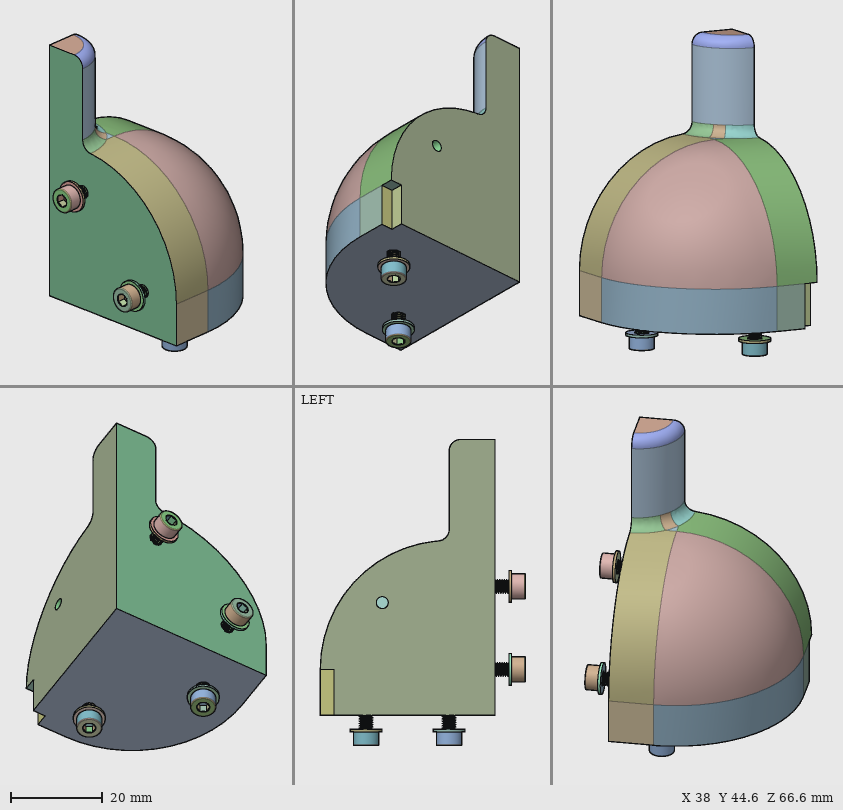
import cadquery as cq

block_size = 38.0
flat_width = 10.0
dome_radius = block_size - flat_width

post_radius = flat_width
post_top = 60.0
post_fillet = 2.5
tolerance = 0.005

side_hole_diameter = 2.6
side_hole_position = 24.5
side_hole_depth = 10.0

notch_width = 3.0
notch_height = flat_width

standoff = 3.0
near_position = flat_width
far_position = 28.05
washer_diameter = 7.0
washer_hole_diameter = 3.2
washer_thickness = 0.6
head_diameter = 5.5
head_height = 3.0
head_fillet = 0.2
seat_fillet = 0.1
socket_flats = 2.5
socket_depth = 2.0
socket_rim_diameter = 2.85
thread_diameter = 3.0
core_diameter = 2.3
thread_pitch = 0.5
thread_base_width = 0.4
thread_bite = 0.05
shank_length = 8.0
head_seat = standoff + washer_thickness
engagement = shank_length - head_seat


def make_screw():
    """Socket head screw along Z: the block side is z = 0, the head points to -Z."""
    head = (
        cq.Workplane("XY")
        .workplane(offset=-head_seat)
        .circle(head_diameter / 2)
        .extrude(-head_height)
        .faces("<Z")
        .edges()
        .fillet(head_fillet)
        .faces(">Z")
        .edges()
        .fillet(seat_fillet)
    )
    head_end = -head_seat - head_height
    socket = (
        cq.Workplane("XY")
        .workplane(offset=head_end)
        .polygon(6, socket_flats, circumscribed=True)
        .extrude(socket_depth)
    )
    rim_radius = socket_rim_diameter / 2
    socket_rim = cq.Solid.makeCone(rim_radius, 0, rim_radius, pnt=cq.Vector(0, 0, head_end))
    core = cq.Workplane("XY").workplane(offset=-head_seat).circle(core_diameter / 2).extrude(shank_length)
    return head.cut(socket).cut(cq.Workplane(socket_rim)).union(core).union(make_thread())


def make_thread():
    """Helical ridge along the whole shank."""
    root_radius = core_diameter / 2 - thread_bite
    helix_start = -head_seat + thread_base_width / 2
    helix_length = shank_length - thread_base_width
    helix = cq.Wire.makeHelix(thread_pitch, helix_length, root_radius, center=cq.Vector(0, 0, helix_start))
    return (
        cq.Workplane("XZ")
        .moveTo(root_radius, helix_start - thread_base_width / 2)
        .lineTo(thread_diameter / 2, helix_start)
        .lineTo(root_radius, helix_start + thread_base_width / 2)
        .close()
        .sweep(cq.Workplane(helix), isFrenet=True)
    )


def make_washer():
    """Flat washer against the underside of the head."""
    return (
        cq.Workplane("XY")
        .workplane(offset=-standoff)
        .circle(washer_diameter / 2)
        .circle(washer_hole_diameter / 2)
        .extrude(-washer_thickness)
    )


def make_screw_hole():
    """Blind hole that holds the end of a screw."""
    return cq.Workplane("XY").circle(thread_diameter / 2).extrude(engagement)


def screw_locations():
    """Two screw places on the underside and two on the -Y side."""
    spots = [(near_position, far_position), (far_position, near_position)]
    underside = [cq.Location(cq.Vector(x, y, 0)) for x, y in spots]
    front = [cq.Location(cq.Vector(x, 0, z), cq.Vector(1, 0, 0), -90) for x, z in spots]
    return underside + front


def on_block_top(edge):
    """True for an edge that lies flat at the top of the dome."""
    box = edge.BoundingBox()
    return abs(box.zmin - block_size) < tolerance and box.zlen < tolerance


def make_domed_quarter():
    """Block with its dome and post: a full symmetric dome around the post, cut down to one quarter."""
    full_size = 2 * block_size
    dome = (
        cq.Workplane("XY")
        .box(full_size, full_size, block_size, centered=(True, True, False))
        .edges("|Z or >Z")
        .fillet(dome_radius)
    )
    post = cq.Workplane("XY").circle(post_radius).extrude(post_top).faces(">Z").edges().fillet(post_fillet)
    body = dome.union(post)
    root_edges = [edge for edge in body.edges("%CIRCLE").vals() if on_block_top(edge)]
    body = body.newObject(root_edges).fillet(post_fillet)
    quarter = cq.Workplane("XY").box(block_size, block_size, post_top, centered=False)
    return body.intersect(quarter)


def make_side_hole():
    """Blind hole along X in the -X side."""
    return (
        cq.Workplane("YZ")
        .center(side_hole_position, side_hole_position)
        .circle(side_hole_diameter / 2)
        .extrude(side_hole_depth)
    )


def make_notch():
    """Rectangular notch standing on the underside."""
    notch = cq.Workplane("XY").box(notch_width, notch_width, notch_height, centered=False)
    return notch.translate((0, block_size - notch_width, 0))


def make_block():
    """Domed block with all its holes and the notch."""
    block = make_domed_quarter().cut(make_side_hole()).cut(make_notch())
    screw_hole = make_screw_hole().val()
    for location in screw_locations():
        block = block.cut(cq.Workplane(screw_hole.located(location)))
    return block


block = make_block()
screw = make_screw().solids().val()
washer = make_washer().val()
screws = [screw.located(location) for location in screw_locations()]
washers = [washer.located(location) for location in screw_locations()]

result = cq.Compound.makeCompound([block.solids().val(), *screws, *washers])